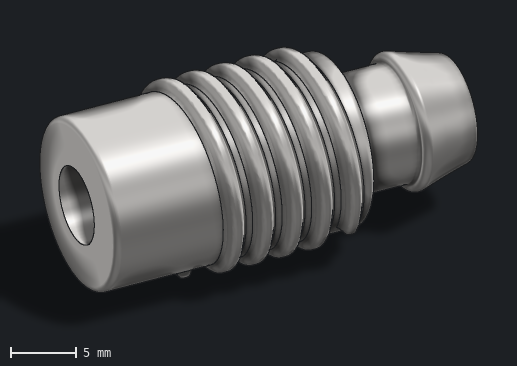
import cadquery as cq
import math

TOTAL_LENGTH = 32.0
BORE_RADIUS = 3.15
EDGE_TOLERANCE = 0.003

BODY_RADIUS = 6.98
BODY_LENGTH = 22.0
EDGE_FILLET = 0.5

NECK_RADIUS = 4.77
BARB_START = 26.9
BARB_RADIUS = 5.73
TIP_RADIUS = 4.32
BARB_RIM_FILLET = 0.5
BARB_ROOT_FILLET = 0.25
TIP_FILLET = 0.4

THREAD_RADIUS = 7.8
THREAD_PITCH = 2.5
THREAD_TURNS = 4.9
THREAD_START = 8.03
THREAD_START_ANGLE = 72.0
THREAD_BASE_WIDTH = 1.65
THREAD_CREST_WIDTH = 0.77
THREAD_FILLET = 0.4
ROOT_SINK = 0.015
THREAD_OVERLAP = 0.13


def stepped_body():
    """Body, neck and tapered barb as one outline turned about Z, with rounded edges."""
    outline = [
        (0, 0),
        (BODY_RADIUS, 0),
        (BODY_RADIUS, BODY_LENGTH),
        (NECK_RADIUS, BODY_LENGTH),
        (NECK_RADIUS, BARB_START),
        (BARB_RADIUS, BARB_START),
        (TIP_RADIUS, TOTAL_LENGTH),
        (0, TOTAL_LENGTH),
    ]
    turned = cq.Workplane("XZ").polyline(outline).close().revolve(360, (0, 0, 0), (0, 1, 0))
    rounded_edges = [
        (BODY_RADIUS, 0, EDGE_FILLET),
        (BODY_RADIUS, BODY_LENGTH, EDGE_FILLET),
        (NECK_RADIUS, BODY_LENGTH, EDGE_FILLET),
        (NECK_RADIUS, BARB_START, BARB_ROOT_FILLET),
        (BARB_RADIUS, BARB_START, BARB_RIM_FILLET),
        (TIP_RADIUS, TOTAL_LENGTH, TIP_FILLET),
    ]
    for radius, height, fillet in rounded_edges:
        turned = turned.edges("%CIRCLE").filter(is_circle_at(radius, height)).fillet(fillet)
    return turned


def is_circle_at(radius, height):
    """Test for the circular edge of the given radius at the given height."""

    def matches(edge):
        same_radius = abs(edge.radius() - radius) < EDGE_TOLERANCE
        same_height = abs(edge.Center().z - height) < EDGE_TOLERANCE
        return same_radius and same_height

    return matches


def thread_profile():
    """Half-plane section of the ridge: trapezoid with rounded crest corners and filleted roots."""
    root_radius = BODY_RADIUS - ROOT_SINK
    foot_radius = root_radius - THREAD_OVERLAP
    half_base = THREAD_BASE_WIDTH / 2
    half_crest = THREAD_CREST_WIDTH / 2

    turn = math.atan2(THREAD_RADIUS - root_radius, half_base - half_crest)
    setback = THREAD_FILLET * math.tan(turn / 2)
    crest_edge = half_crest - setback
    root_edge = half_base + setback

    def crest_point(angle):
        return (
            THREAD_RADIUS - THREAD_FILLET * (1 - math.cos(angle)),
            crest_edge + THREAD_FILLET * math.sin(angle),
        )

    def root_point(angle):
        return (
            root_radius + THREAD_FILLET * (1 - math.cos(angle)),
            root_edge - THREAD_FILLET * math.sin(angle),
        )

    def mirrored(point):
        return (point[0], -point[1])

    return (
        cq.Workplane("XZ")
        .moveTo(foot_radius, -root_edge)
        .lineTo(root_radius, -root_edge)
        .threePointArc(mirrored(root_point(turn / 2)), mirrored(root_point(turn)))
        .lineTo(*mirrored(crest_point(turn)))
        .threePointArc(mirrored(crest_point(turn / 2)), (THREAD_RADIUS, -crest_edge))
        .lineTo(THREAD_RADIUS, crest_edge)
        .threePointArc(crest_point(turn / 2), crest_point(turn))
        .lineTo(*root_point(turn))
        .threePointArc(root_point(turn / 2), (root_radius, root_edge))
        .lineTo(foot_radius, root_edge)
        .close()
    )


def thread_ridge():
    """Ridge swept along a right-handed helix from its start angle and height."""
    helix = cq.Wire.makeHelix(THREAD_PITCH, THREAD_PITCH * THREAD_TURNS, BODY_RADIUS)
    ridge = thread_profile().sweep(cq.Workplane(obj=helix), isFrenet=True)
    return ridge.rotate((0, 0, 0), (0, 0, 1), THREAD_START_ANGLE).translate((0, 0, THREAD_START))


bore = cq.Workplane("XY").circle(BORE_RADIUS).extrude(TOTAL_LENGTH)
bushing = stepped_body().union(thread_ridge()).cut(bore)

result = bushing.rotate((0, 0, 0), (1, 0, 0), -90)